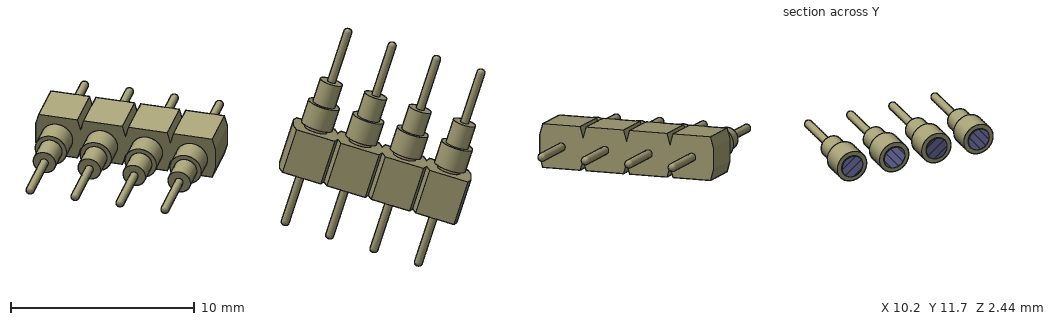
import cadquery as cq

contact_count = 4
strip_length = 10.16
pitch = strip_length / contact_count

housing_height = 2.44
housing_front_y = 0.15
housing_rear_y = 2.69
notch_half_width = 0.18
notch_depth = 0.62

contact_length = 11.68
pin_diameter = 0.45
tip_radius = 0.2
shank_diameter = 1.27
shank_front_y = -2.69
collar_diameter = 1.78
collar_front_y = -1.35
collar_rear_y = -0.06

contact_xs = [(i - (contact_count - 1) / 2) * pitch for i in range(contact_count)]


def cylinder_along_y(diameter, start_y, end_y, x=0):
    """Cylinder parallel to Y, at height zero, between two Y positions."""
    return (
        cq.Workplane("XZ", origin=(x, start_y, 0))
        .circle(diameter / 2)
        .extrude(start_y - end_y)
    )


def make_housing():
    """Break-away strip with V notches between cells and a pin hole in each cell."""
    depth = housing_rear_y - housing_front_y
    housing = cq.Workplane("XY").box(strip_length, depth, housing_height)
    housing = housing.translate((0, (housing_front_y + housing_rear_y) / 2, 0))

    top = housing_height / 2
    for i in range(contact_count + 1):
        boundary_x = i * pitch - strip_length / 2
        for side in (1, -1):
            notch = (
                cq.Workplane("XZ", origin=(0, housing_front_y, 0))
                .moveTo(boundary_x - notch_half_width, side * top)
                .lineTo(boundary_x + notch_half_width, side * top)
                .lineTo(boundary_x, side * (top - notch_depth))
                .close()
                .extrude(-depth)
            )
            housing = housing.cut(notch)

    for x in contact_xs:
        housing = housing.cut(cylinder_along_y(pin_diameter, housing_front_y, housing_rear_y, x))
    return housing


def make_contact(x):
    """Turned contact: a round-tipped pin with a shank and a wider collar."""
    pin = cylinder_along_y(pin_diameter, -contact_length / 2, contact_length / 2)
    pin = pin.faces("<Y or >Y").edges().fillet(tip_radius)
    shank = cylinder_along_y(shank_diameter, shank_front_y, housing_front_y)
    collar = cylinder_along_y(collar_diameter, collar_front_y, collar_rear_y)
    return pin.union(shank).union(collar).translate((x, 0, 0))


housing = make_housing()
contacts = [make_contact(x) for x in contact_xs]
bodies = [housing, *contacts]
result = cq.Compound.makeCompound([body.solids().val() for body in bodies])